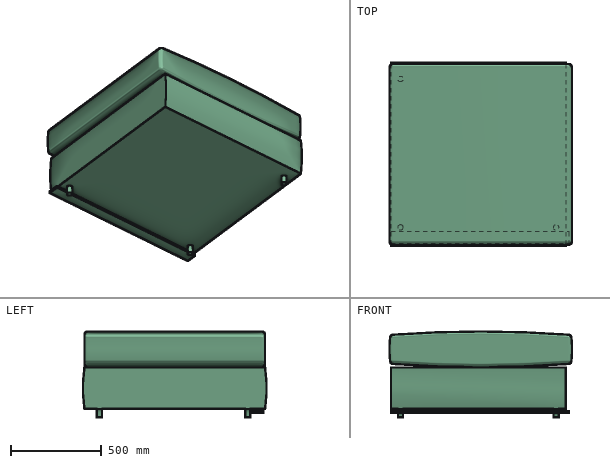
import cadquery as cq

base_width = 968.0
base_depth = 1000.0
base_height = 230.0
base_bulge = 8.145

cushion_width = 1000.0
cushion_depth = 1000.0
cushion_edge_height = 161.0
cushion_crown = 18.865
cushion_side_bulge = 5.545
cushion_fillet = 20.0
cushion_overhang = 2.5

leg_diameter = 30.0
leg_height = 47.0
leg_side_inset = 54.0
leg_front_inset = 96.5
leg_back_inset = 83.0

rail_length = 985.0
rail_depth = 65.0
rail_thickness = 10.0
rail_front_inset = 8.5
rail_bottom = 25.0

base_top = leg_height + base_height
base_front = -base_depth / 2
base_back = base_depth / 2


def make_base():
    middle = leg_height + base_height / 2
    return (
        cq.Workplane("YZ")
        .moveTo(base_front, leg_height)
        .lineTo(base_back, leg_height)
        .threePointArc((base_back + base_bulge, middle), (base_back, base_top))
        .lineTo(base_front, base_top)
        .threePointArc((base_front - base_bulge, middle), (base_front, leg_height))
        .close()
        .extrude(base_width)
    )


def make_cushion():
    left = -cushion_overhang
    right = left + cushion_width
    center = left + cushion_width / 2
    lower = base_top + cushion_crown
    upper = lower + cushion_edge_height
    middle = lower + cushion_edge_height / 2
    return (
        cq.Workplane("XZ")
        .moveTo(left, lower)
        .threePointArc((center, lower - cushion_crown), (right, lower))
        .threePointArc((right + cushion_side_bulge, middle), (right, upper))
        .threePointArc((center, upper + cushion_crown), (left, upper))
        .threePointArc((left - cushion_side_bulge, middle), (left, lower))
        .close()
        .extrude(cushion_depth / 2, both=True)
        .edges()
        .fillet(cushion_fillet)
    )


def make_leg(x, y):
    return cq.Workplane("XY").center(x, y).circle(leg_diameter / 2).extrude(leg_height)


def make_rail():
    return (
        cq.Workplane("XY", origin=(0, base_front + rail_front_inset, rail_bottom))
        .box(rail_length, rail_depth, rail_thickness, centered=False)
    )


leg_left = leg_side_inset
leg_right = base_width - leg_side_inset
leg_front = base_front + leg_front_inset
leg_back = base_back - leg_back_inset
leg_positions = [
    (leg_left, leg_front),
    (leg_left, leg_back),
    (leg_right, leg_front),
]

base = make_base()
cushion = make_cushion()
rail = make_rail()
legs = [make_leg(x, y) for x, y in leg_positions]

result = cq.Compound.makeCompound(
    [base.val(), cushion.val(), rail.val(), *[leg.val() for leg in legs]]
)